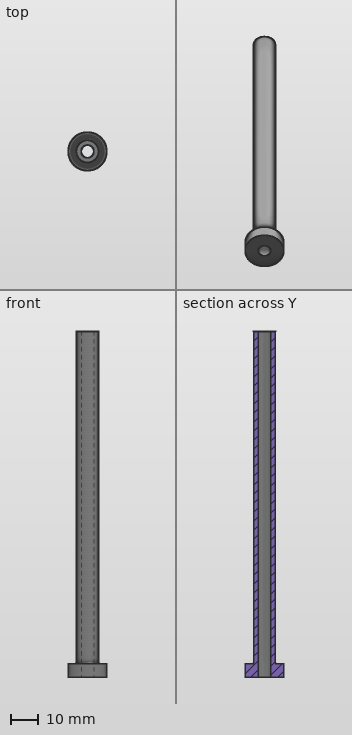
import cadquery as cq

total_length = 125.0
head_diameter = 14.0
head_thickness = 5.0
shaft_diameter = 8.0
bore_diameter = 4.5
neck_fillet = 0.5

head_radius = head_diameter / 2
shaft_radius = shaft_diameter / 2
bore_radius = bore_diameter / 2

profile = (
    cq.Workplane("XZ")
    .moveTo(bore_radius, 0)
    .lineTo(head_radius, 0)
    .lineTo(head_radius, head_thickness)
    .lineTo(shaft_radius + neck_fillet, head_thickness)
    .radiusArc((shaft_radius, head_thickness + neck_fillet), neck_fillet)
    .lineTo(shaft_radius, total_length)
    .lineTo(bore_radius, total_length)
    .close()
)

result = profile.revolve(360, (0, 0, 0), (0, 1, 0))